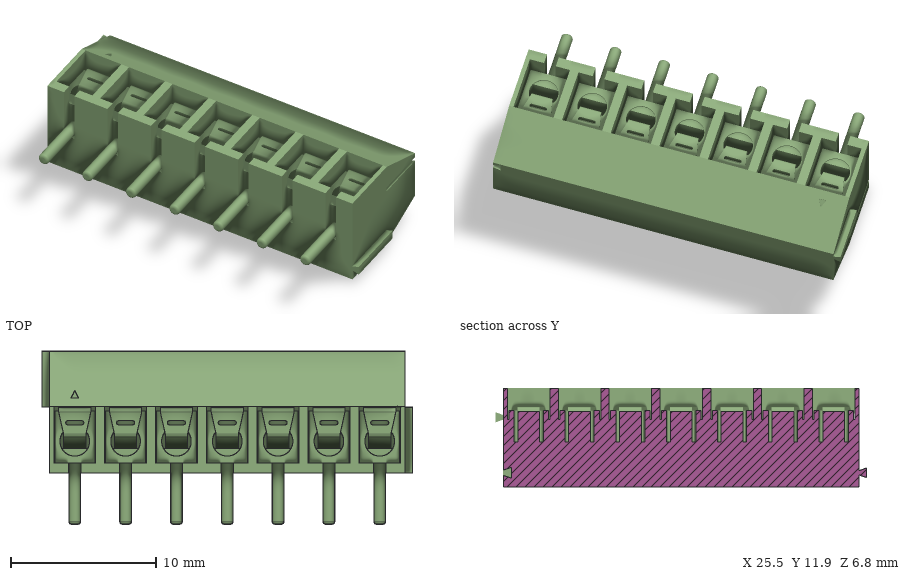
import cadquery as cq
import math


pole_count = 7
total_length = 25.5
rail_projection = 0.5
body_length = total_length - 2 * rail_projection
pitch = body_length / pole_count
body_depth = 8.4
body_height = 6.8
slope_depth = 3.8
slope_drop = 1.5
pocket_back = body_depth - slope_depth

pocket_width = 2.88
front_wall = 0.71
pocket_depth = 2.15
slot_width = 0.85
pin_diameter = 0.82

side_gap = 0.065
clamp_width = pocket_width - 2 * side_gap
clamp_drop = 1.5
clamp_top = body_height - clamp_drop
clamp_back_gap = 0.3
pocket_floor = body_height - pocket_depth

head_radius = 1.02
head_y = pocket_back - 2.4
head_recess = 0.08
head_slot_width = 0.97
head_slot_depth = 2.17
head_slot_floor = clamp_top - head_slot_depth

plate_rise = 0.2
plate_back_gap = 0.065
plate_back_radius = 0.3
plate_top = clamp_top + plate_rise
plate_back_width = 2.22
tongue_width = 1.53
tongue_angle = 70.0
bend_radius = 0.2
plate_window_y = pocket_back - 1.12
plate_window_length = 1.25
plate_window_width = 0.28
plate_window_depth = 0.38

pin_length = 3.52
pin_z = body_height / 2
pin_tip_fillet = 0.2

dovetail_wide = 0.7
dovetail_narrow = 0.33
groove_depth = 0.54
upper_dovetail_z = body_height - 2.01
lower_dovetail_z = 1.0
dovetail_split_y = 4.55

mark_width = 0.54
mark_height = 0.5
mark_offset = 0.59
mark_depth = 0.08

pole_xs = [(i - (pole_count - 1) / 2) * pitch for i in range(pole_count)]


def box(x_size, y_min, y_max, z_min, z_max):
    """Box centred on X = 0."""
    return (
        cq.Workplane("XY")
        .box(x_size, y_max - y_min, z_max - z_min, centered=(True, False, False))
        .translate((0, y_min, z_min))
    )


def make_housing():
    """Bar along X with both back edges sloped off."""
    outline = [
        (0, 0),
        (pocket_back, 0),
        (body_depth, slope_drop),
        (body_depth, body_height - slope_drop),
        (pocket_back, body_height),
        (0, body_height),
    ]
    return cq.Workplane("YZ").polyline(outline).close().extrude(body_length / 2, both=True)


def make_pocket():
    """Space removed for one pole: the pocket and the slot through the front wall."""
    pocket = box(pocket_width, front_wall, pocket_back, pocket_floor, body_height)
    slot = box(slot_width, 0, front_wall, pin_z - slot_width / 2, body_height)
    return pocket.union(slot)


def make_spring_plate():
    """Tapered plate, rounded down at the back, with a tongue bent into the screw slot."""
    back_y = pocket_back - plate_back_gap
    flat_back_y = back_y - plate_back_radius
    bend_y = head_y + head_slot_width / 2
    tongue_end_y = head_y - head_slot_width / 2
    angle = math.radians(tongue_angle)
    bend_end_y = bend_y - bend_radius * math.sin(angle)
    bend_end_z = plate_top - bend_radius * (1 - math.cos(angle))
    tongue_end_z = bend_end_z - (bend_end_y - tongue_end_y) * math.tan(angle)
    side = (
        cq.Workplane("YZ")
        .moveTo(back_y, head_slot_floor)
        .lineTo(back_y, plate_top - plate_back_radius)
        .tangentArcPoint((flat_back_y, plate_top), relative=False)
        .lineTo(bend_y, plate_top)
        .tangentArcPoint((bend_end_y, bend_end_z), relative=False)
        .lineTo(tongue_end_y, tongue_end_z)
        .lineTo(tongue_end_y, head_slot_floor)
        .close()
        .extrude(plate_back_width / 2, both=True)
    )
    right_edge = [
        (plate_back_width / 2, back_y),
        (plate_back_width / 2, flat_back_y),
        (tongue_width / 2, bend_y),
        (tongue_width / 2, tongue_end_y),
    ]
    left_edge = [(-x, y) for x, y in reversed(right_edge)]
    plan = (
        cq.Workplane("XY", origin=(0, 0, head_slot_floor))
        .polyline(right_edge + left_edge)
        .close()
        .extrude(plate_top - head_slot_floor)
    )
    return side.intersect(plan)


def make_clamp():
    """Clamp block with its spring plate, and the screw slot left open around the plate."""
    clamp_back = pocket_back - clamp_back_gap
    block = box(clamp_width, front_wall, clamp_back, pocket_floor, clamp_top)
    head = (
        cq.Workplane("XY", origin=(0, head_y, head_slot_floor))
        .circle(head_radius)
        .extrude(head_slot_depth)
    )
    head_slot = head.intersect(
        box(
            2 * head_radius,
            head_y - head_slot_width / 2,
            head_y + head_slot_width / 2,
            head_slot_floor,
            clamp_top,
        )
    )
    recess = head.translate((0, 0, head_slot_depth - head_recess))
    window = (
        cq.Workplane("XY", origin=(0, plate_window_y, plate_top - plate_window_depth))
        .slot2D(plate_window_length, plate_window_width)
        .extrude(plate_window_depth)
    )
    plate = make_spring_plate()
    clamp = block.cut(recess).union(plate).cut(window)
    return clamp, head_slot.cut(plate)


def make_pin():
    """Round pin from the clamp out through the front face, with a rounded tip."""
    return (
        cq.Workplane("XZ", origin=(0, front_wall, pin_z))
        .circle(pin_diameter / 2)
        .extrude(front_wall + pin_length)
        .faces("<Y")
        .edges()
        .fillet(pin_tip_fillet)
    )


def make_dovetail(root_x, z, depth, y_min, y_max):
    """Dovetail bar along Y, narrow at root_x and widening over depth towards +X."""
    return (
        cq.Workplane("XZ", origin=(root_x, y_max, z))
        .polyline(
            [
                (0, -dovetail_narrow / 2),
                (depth, -dovetail_wide / 2),
                (depth, dovetail_wide / 2),
                (0, dovetail_narrow / 2),
            ]
        )
        .close()
        .extrude(y_max - y_min)
    )


def make_mark():
    """Triangular prism that leaves an engraved mark on the upper slope."""
    slope_angle = math.atan2(slope_drop, slope_depth)
    base = mark_offset / math.cos(slope_angle)
    tip = (mark_offset + mark_height) / math.cos(slope_angle)
    plane = cq.Plane(
        origin=(pole_xs[0], pocket_back, body_height),
        xDir=(1, 0, 0),
        normal=(0, math.sin(slope_angle), math.cos(slope_angle)),
    )
    return (
        cq.Workplane(plane)
        .polyline([(-mark_width / 2, base), (mark_width / 2, base), (0, tip)])
        .close()
        .extrude(-mark_depth)
    )


result = make_housing()
pocket_space = make_pocket()
clamp_block, screw_cavity = make_clamp()
pin = make_pin()
for x in pole_xs:
    position = (x, 0, 0)
    result = result.cut(pocket_space.translate(position))
    result = result.union(clamp_block.translate(position))
    result = result.cut(screw_cavity.translate(position))
    result = result.union(pin.translate(position))

end_x = body_length / 2
upper_span = (dovetail_split_y, body_depth)
lower_span = (0, dovetail_split_y)
left_rail = make_dovetail(end_x, upper_dovetail_z, rail_projection, *upper_span).mirror("YZ")
right_rail = make_dovetail(end_x, lower_dovetail_z, rail_projection, *lower_span)
left_groove = make_dovetail(-end_x, lower_dovetail_z, groove_depth, *lower_span)
right_groove = make_dovetail(-end_x, upper_dovetail_z, groove_depth, *upper_span).mirror("YZ")
result = result.union(left_rail).union(right_rail)
result = result.cut(left_groove).cut(right_groove)

result = result.cut(make_mark())